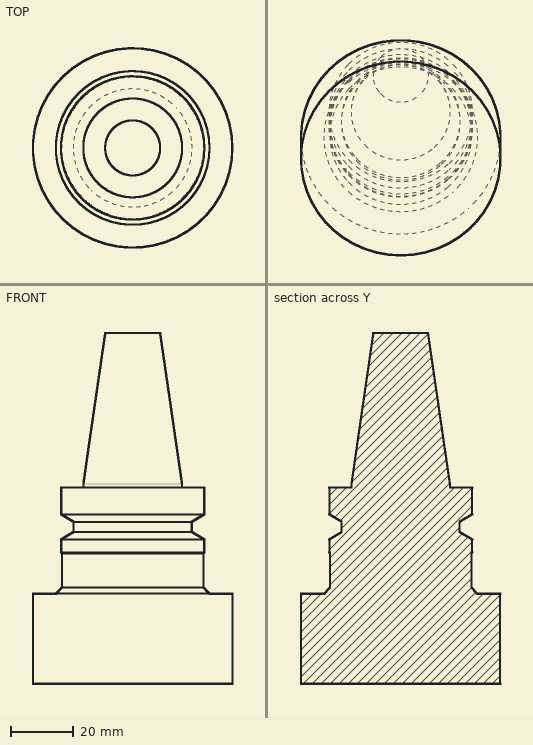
import cadquery as cq

TOTAL_HEIGHT = 112.4
BODY_HEIGHT = 28.9
CONE_FOOT_HEIGHT = 2.0
COLLAR_TOP = 41.8
FLANGE_TOP = 63.0
TAPER_START = 64.1

LOWER_RIM_TOP = 46.3
GROOVE_FLOOR_BOTTOM = 48.7
GROOVE_FLOOR_TOP = 51.9
UPPER_RIM_BOTTOM = 54.3

BODY_DIAMETER = 64.0
CONE_FOOT_DIAMETER = 49.2
COLLAR_DIAMETER = 45.4
FLANGE_DIAMETER = 46.0
GROOVE_DIAMETER = 38.0
TAPER_DIAMETER = 31.7
TIP_DIAMETER = 17.6

FLANGE_CHAMFER = (FLANGE_DIAMETER - COLLAR_DIAMETER) / 2


def revolve_profile(steps):
    """Turn (diameter, height) steps, listed bottom to top, into a solid about Z."""
    outline = [(diameter / 2, height) for diameter, height in steps]
    bottom_height = outline[0][1]
    top_height = outline[-1][1]
    points = [(0, bottom_height)] + outline + [(0, top_height)]
    return cq.Workplane("XZ").polyline(points).close().revolve(360, (0, 0, 0), (0, 1, 0))


body_steps = [
    (BODY_DIAMETER, 0),
    (BODY_DIAMETER, BODY_HEIGHT),
    (CONE_FOOT_DIAMETER, BODY_HEIGHT),
    (COLLAR_DIAMETER, BODY_HEIGHT + CONE_FOOT_HEIGHT),
    (COLLAR_DIAMETER, COLLAR_TOP),
]

flange_steps = [
    (FLANGE_DIAMETER, COLLAR_TOP + FLANGE_CHAMFER),
    (FLANGE_DIAMETER, LOWER_RIM_TOP),
    (GROOVE_DIAMETER, GROOVE_FLOOR_BOTTOM),
    (GROOVE_DIAMETER, GROOVE_FLOOR_TOP),
    (FLANGE_DIAMETER, UPPER_RIM_BOTTOM),
    (FLANGE_DIAMETER, FLANGE_TOP),
]

shank_steps = [
    (TAPER_DIAMETER, FLANGE_TOP),
    (TAPER_DIAMETER, TAPER_START),
    (TIP_DIAMETER, TOTAL_HEIGHT),
]

result = revolve_profile(body_steps + flange_steps + shank_steps)